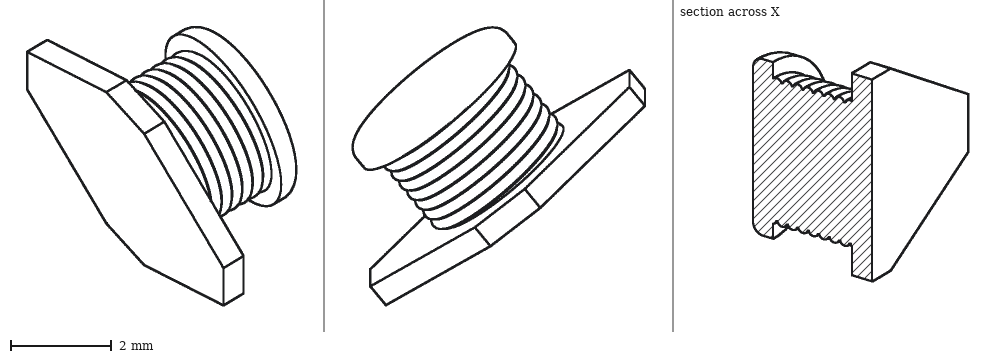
import cadquery as cq
import math

plate_width = 6.6
plate_height = 4.45
plate_flat = 1.27
plate_thickness = 0.5

overall_length = 2.92
cap_diameter = 3.9
cap_thickness = 0.5
cap_fillet = 0.25

winding_diameter = 3.25
wire_diameter = 0.25
wire_pitch = 0.255
groove_depth = 0.085
wire_start_angle = 100.0
wire_end_overlap = 0.136

cap_underside = overall_length - cap_thickness
core_length = cap_underside - plate_thickness
core_radius = winding_diameter / 2 - groove_depth
helix_radius = (winding_diameter - wire_diameter) / 2
quarter_turn = 90


def cylinder_along_y(radius, start, length):
    return cq.Workplane("XZ", origin=(0, start, 0)).circle(radius).extrude(-length)


def make_plate():
    half_width = plate_width / 2
    half_height = plate_height / 2
    half_flat = plate_flat / 2
    outline = [
        (half_width, half_flat),
        (half_flat, half_height),
        (-half_flat, half_height),
        (-half_width, half_flat),
        (-half_width, -half_flat),
        (-half_flat, -half_height),
        (half_flat, -half_height),
        (half_width, -half_flat),
    ]
    return cq.Workplane("XZ").polyline(outline).close().extrude(-plate_thickness)


def make_core():
    return cylinder_along_y(core_radius, plate_thickness, core_length)


def make_cap():
    cap = cylinder_along_y(cap_diameter / 2, cap_underside, cap_thickness)
    return cap.faces(">Y").edges().fillet(cap_fillet)


def make_winding():
    """Sweep the wire along a helix about Z, then lay the helix along Y."""
    helix_length = core_length + 2 * wire_end_overlap
    helix = cq.Workplane(cq.Wire.makeHelix(wire_pitch, helix_length, helix_radius))
    rise_per_radian = wire_pitch / (2 * math.pi)
    wire_section = cq.Plane(
        origin=(helix_radius, 0, 0),
        xDir=(1, 0, 0),
        normal=(0, helix_radius, rise_per_radian),
    )
    coil = cq.Workplane(wire_section).circle(wire_diameter / 2).sweep(helix, isFrenet=True)

    origin = (0, 0, 0)
    coil = coil.rotate(origin, (0, 0, 1), -quarter_turn)
    coil = coil.rotate(origin, (1, 0, 0), -quarter_turn)
    coil = coil.rotate(origin, (0, 1, 0), wire_start_angle)
    return coil.translate((0, plate_thickness - wire_end_overlap, 0))


bobbin = make_plate().union(make_core()).union(make_cap())
result = bobbin.union(make_winding())